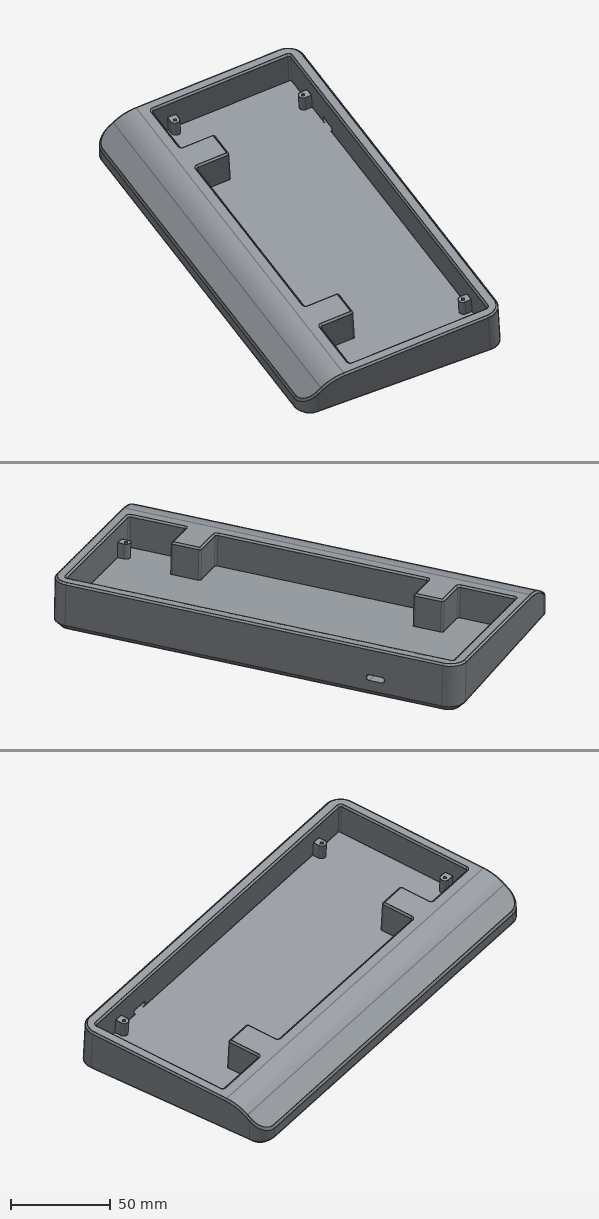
import cadquery as cq
import math

width = 224.55
depth = 115.83
height = 27.02

tilt = 3.0
front_height = 10.05
crest_y = 16.75
crest_radius = 24.5
corner_radius = 9.0
base_bevel_height = 3.45
base_bevel_inset = 3.35
outer_chamfer = 1.0

cavity_width = 212.0
cavity_front = 29.9
cavity_back = 108.2
cavity_depth = 18.0
cavity_corner_radius = 1.1
rim_chamfer = 1.0

tab_x = 66.5
tab_width = 16.5
tab_tip = 48.8

post_diameter = 4.8
post_hole_diameter = 1.6
post_height = 8.3
post_hole_depth = 6.0
web_length = 4.5
back_post_x = 85.7
back_post_y = 104.7
side_post_x = 102.5
side_post_y = 40.85

slot_x = -66.8
slot_width = 10.0
slot_height = 3.2
slot_corner_radius = 1.5

margin = 1.0

tilt_rad = math.radians(tilt)
slope = math.tan(tilt_rad)

back_base_y = depth + base_bevel_height * slope
back_top_z = height + outer_chamfer * math.sin(tilt_rad)
back_top_y = back_base_y - back_top_z * slope
crest_z = back_top_z - (back_top_y - crest_y) * slope

top_plane = cq.Plane(
    origin=(0, crest_y, crest_z),
    xDir=(1, 0, 0),
    normal=(0, -math.sin(tilt_rad), math.cos(tilt_rad)),
)


def along_top(y):
    """Distance along the top face from the crest line to the given Y."""
    return (y - crest_y) / math.cos(tilt_rad)


def box_below_top(x, y_front, y_back, x_size, top_offset, bottom_offset):
    """Block square to the top face between two depths below it."""
    v_front = along_top(y_front)
    v_back = along_top(y_back)
    return (
        cq.Workplane(top_plane)
        .workplane(offset=-bottom_offset)
        .center(x, (v_front + v_back) / 2)
        .rect(x_size, v_back - v_front)
        .extrude(bottom_offset - top_offset)
    )


def edges_near(solid, y, z):
    """Edges whose centres lie close to the line at the given Y and Z."""
    box = cq.selectors.BoxSelector(
        (-width, y - margin, z - margin), (width, y + margin, z + margin)
    )
    return solid.edges(box)


def make_body():
    body = (
        cq.Workplane("YZ")
        .polyline([
            (0, 0),
            (back_base_y, 0),
            (back_top_y, back_top_z),
            (crest_y, crest_z),
            (0, front_height),
        ])
        .close()
        .extrude(width / 2, both=True)
    )
    body = edges_near(body, 0, front_height / 2).fillet(corner_radius)
    back_middle_y = (back_base_y + back_top_y) / 2
    body = edges_near(body, back_middle_y, back_top_z / 2).fillet(corner_radius)
    body = edges_near(body, crest_y, crest_z).fillet(crest_radius)
    body = body.faces("<Z").chamfer(base_bevel_height, base_bevel_inset)
    top_direction = cq.selectors.DirectionMinMaxSelector(cq.Vector(top_plane.zDir), True)
    top_outline = body.faces(top_direction).edges("not(|X and <Y)")
    return top_outline.chamfer(outer_chamfer)


def make_cavity():
    cavity = box_below_top(0, cavity_front, cavity_back, cavity_width, 0, cavity_depth)
    for side in (-1, 1):
        tab = box_below_top(side * tab_x, cavity_front, tab_tip, tab_width, 0, cavity_depth)
        cavity = cavity.cut(tab)
    upright = cq.selectors.ParallelDirSelector(top_plane.zDir)
    return cavity.edges(upright).fillet(cavity_corner_radius)


def bevel_rim(body):
    """Chamfer the edge between the cavity walls and the top face."""
    inside = cq.selectors.BoxSelector(
        (-cavity_width / 2 - margin, cavity_front - margin, crest_z),
        (cavity_width / 2 + margin, cavity_back + margin, height + margin),
    )
    upright = cq.selectors.ParallelDirSelector(top_plane.zDir)
    return body.edges(inside - upright).chamfer(rim_chamfer)


def make_post(x, y, wall_direction):
    """Round post with a flat-sided web running from it into the wall beside it."""
    v = along_top(y)
    post_top = cq.Workplane(top_plane).workplane(offset=post_height - cavity_depth)
    post = post_top.center(x, v).circle(post_diameter / 2).extrude(-post_height)
    dx, dy = wall_direction
    web = (
        post_top.center(x + dx * web_length / 2, v + dy * web_length / 2)
        .rect(web_length if dx else post_diameter, web_length if dy else post_diameter)
        .extrude(-post_height)
    )
    hole = post_top.center(x, v).circle(post_hole_diameter / 2).extrude(-post_hole_depth)
    return post.union(web).cut(hole)


def make_slot():
    slot = box_below_top(
        slot_x,
        cavity_back - margin,
        depth + margin,
        slot_width,
        cavity_depth - slot_height,
        cavity_depth,
    )
    along_slot = cq.selectors.ParallelDirSelector(top_plane.yDir)
    return slot.edges(along_slot).fillet(slot_corner_radius)


result = bevel_rim(make_body().cut(make_cavity()))
for side in (-1, 1):
    result = result.union(make_post(side * back_post_x, back_post_y, (0, 1)))
    result = result.union(make_post(side * side_post_x, side_post_y, (side, 0)))
result = result.cut(make_slot())